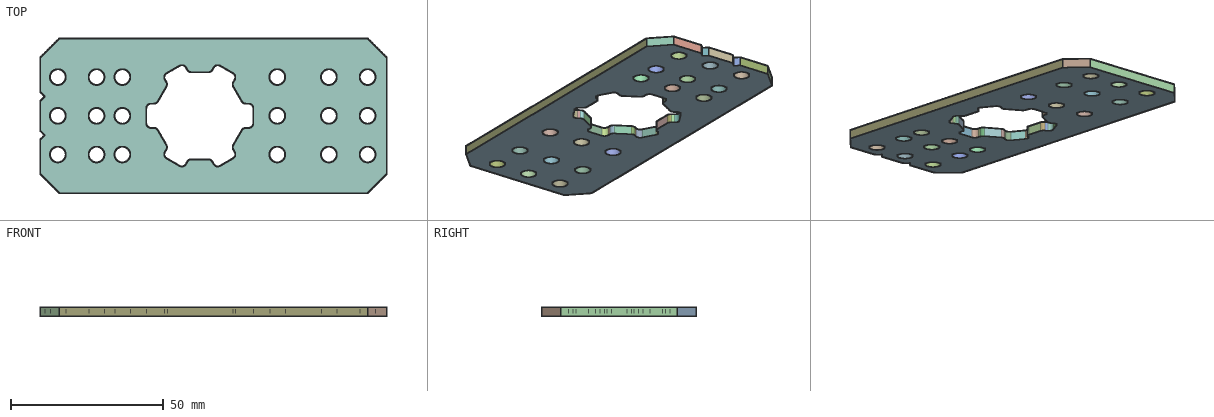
import cadquery as cq
import math

PITCH = 12.7
THICKNESS = 3.0
WIDTH = 4 * PITCH
EDGE_MARGIN = PITCH / 2
LEFT_TRIM = 0.51

HOLE_DIAMETER = 5.1
INNER_COLUMN = 2 * PITCH
LEFT_COLUMN_GAP = PITCH * 2 / 3
RIGHT_COLUMN_GAP = PITCH * 4 / 3
LEFT_MIDDLE_COLUMN = -INNER_COLUMN - LEFT_COLUMN_GAP
LEFT_OUTER_COLUMN = LEFT_MIDDLE_COLUMN - PITCH
RIGHT_MIDDLE_COLUMN = INNER_COLUMN + RIGHT_COLUMN_GAP
RIGHT_OUTER_COLUMN = RIGHT_MIDDLE_COLUMN + PITCH
HOLE_COLUMNS = (
    LEFT_OUTER_COLUMN,
    LEFT_MIDDLE_COLUMN,
    -INNER_COLUMN,
    INNER_COLUMN,
    RIGHT_MIDDLE_COLUMN,
    RIGHT_OUTER_COLUMN,
)
HOLE_ROWS = (-PITCH, 0, PITCH)

LEFT_END = LEFT_OUTER_COLUMN - EDGE_MARGIN + LEFT_TRIM
RIGHT_END = RIGHT_OUTER_COLUMN + EDGE_MARGIN
CORNER_CHAMFER = PITCH / 2

NOTCH_DEPTH = 1.5
NOTCH_ROWS = (-PITCH / 2, PITCH / 2)

LOBE_COUNT = 6
HEXAGON_FLATS = 28.5
LOBE_REACH = 17.5
LOBE_WIDTH = 7.9
OPENING_FILLET = 1.5


def make_plate():
    length = RIGHT_END - LEFT_END
    middle = (LEFT_END + RIGHT_END) / 2
    blank = cq.Workplane("XY").center(middle, 0).rect(length, WIDTH).extrude(THICKNESS)
    return blank.edges("|Z").chamfer(CORNER_CHAMFER)


def make_holes():
    centres = [(x, y) for x in HOLE_COLUMNS for y in HOLE_ROWS]
    return cq.Workplane("XY").pushPoints(centres).circle(HOLE_DIAMETER / 2).extrude(THICKNESS)


def make_notch(row):
    corners = [
        (LEFT_END, row - NOTCH_DEPTH),
        (LEFT_END + NOTCH_DEPTH, row),
        (LEFT_END, row + NOTCH_DEPTH),
    ]
    return cq.Workplane("XY").polyline(corners).close().extrude(THICKNESS)


def make_opening():
    hexagon_corners = HEXAGON_FLATS / math.cos(math.pi / LOBE_COUNT)
    opening = cq.Workplane("XY").polygon(LOBE_COUNT, hexagon_corners).extrude(THICKNESS)
    bar = cq.Workplane("XY").rect(2 * LOBE_REACH, LOBE_WIDTH).extrude(THICKNESS)
    for index in range(LOBE_COUNT // 2):
        opening = opening.union(bar.rotate((0, 0, 0), (0, 0, 1), index * 360 / LOBE_COUNT))
    return opening.edges("|Z").fillet(OPENING_FILLET)


result = make_plate().cut(make_holes()).cut(make_opening())
for notch_row in NOTCH_ROWS:
    result = result.cut(make_notch(notch_row))